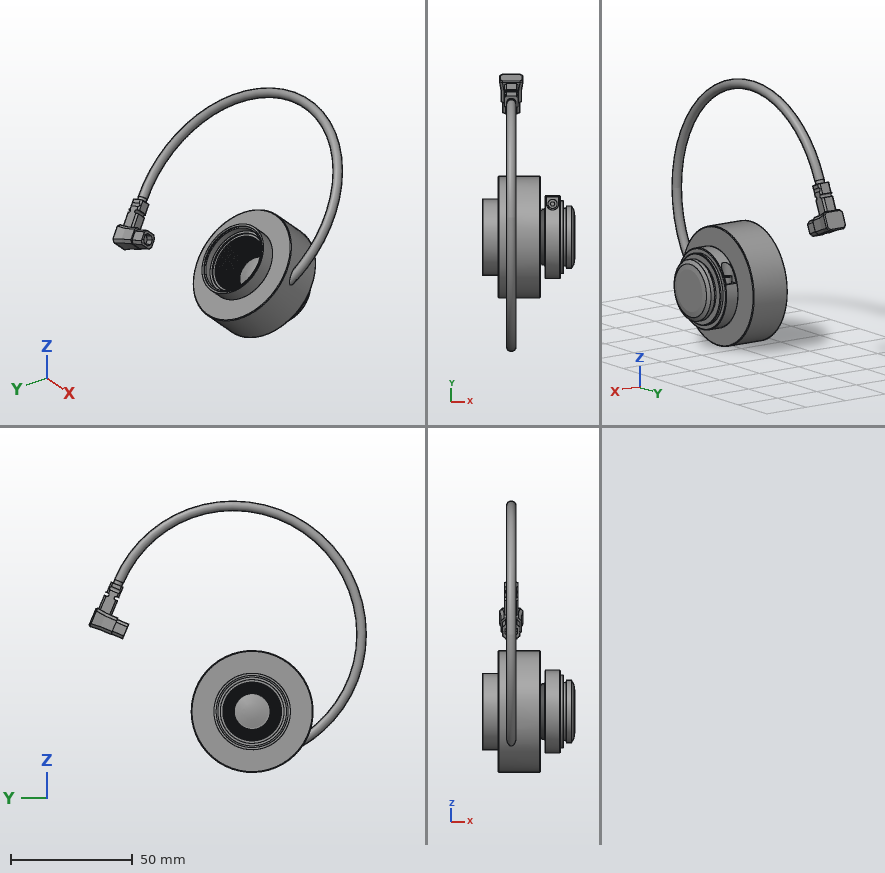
import cadquery as cq
import math

rim_radius = 15.7
body_front_x, body_back_x, body_radius = 6.3, 23.7, 25.0
ring_front_x, ring_back_x, ring_radius = 25.5, 31.8, 17.1
shoulder_back_x, shoulder_radius = 33.2, 15.0
mount_front_x, mount_bevel_x, mount_back_x, mount_radius = 34.5, 36.4, 37.4, 12.9
mount_bevel_radius = 11.1
neck_radius, neck_step_radius, neck_step_x = 11.0, 11.5, 24.2
relief_radius = 12.0
rear_lens_x, rear_lens_radius = 37.8, 8.9
edge_bevel = 0.3

entry_radius, entry_depth = 14.8, 0.5
filter_radius, filter_depth = 14.1, 3.4
seat_radius, seat_depth = 13.1, 4.1
baffle_radius, baffle_end_radius, baffle_depth, baffle_steps = 12.1, 9.2, 12.2, 12
retainer_end_radius, retainer_depth, retainer_steps = 7.0, 14.8, 7
glass_radius, glass_bulge = 6.8, 1.1

screw_y = 13.6
screw_notch_width = 5.0
screw_floor_z = 4.8
screw_head_diameter, screw_head_height = 3.8, 2.7
socket_size, socket_depth = 1.9, 1.7

cable_x, cable_diameter = 11.7, 4.0
overall_height, overall_front_y = 111.4, -46.9
cable_top_z = overall_height - body_radius - cable_diameter / 2
cable_side_y = overall_front_y + cable_diameter / 2
wide_bend_radius, tight_bend_radius, entry_bend_radius = 52.8, 50.7, 51.0
top_angle, side_angle, cable_entry_angle = 90, 180, 246
plug_tilt = 23.0

sleeve_diameter = 3.8
collar_top, arm_bottom = 1.6, 15.4
arm_width = 5.7
collar_back, collar_front = -2.8, 2.5
arm_back, arm_front, arm_top = -3.3, 2.6, 6.1
arm_bevel = 0.8
side_groove_at, side_groove_radius, side_groove_depth = 4.0, 0.9, 0.4
latch_notch_at, latch_notch_radius = 6.9, 0.7
head_back, head_front, plug_end = -4.3, 0.5, 5.5
contact_end = 10.6
head_bevel = 1.3
end_bevel = 0.6
tail_width, tail_top, tail_bottom = 9.9, 13.5, 21.8
head_width, head_top, head_bottom = 8.4, 14.1, 21.4
contact_width, contact_top, contact_bottom = 7.0, 14.7, 21.2
socket_wall, socket_reach = 1.0, 2.8


def stairs(start_x, start_radius, end_x, end_radius, steps):
    """Corner points of equal steps that narrow a bore towards +X."""
    points = []
    for i in range(1, steps + 1):
        x = start_x + (end_x - start_x) * i / steps
        points.append((x, start_radius + (end_radius - start_radius) * (i - 1) / steps))
        points.append((x, start_radius + (end_radius - start_radius) * i / steps))
    return points


def make_barrel():
    outer = [
        (rear_lens_x, 0),
        (rear_lens_x, rear_lens_radius),
        (mount_back_x, mount_bevel_radius),
        (mount_bevel_x, mount_radius),
        (mount_front_x, mount_radius),
        (mount_front_x - edge_bevel, relief_radius),
        (shoulder_back_x, relief_radius),
        (shoulder_back_x, shoulder_radius - edge_bevel),
        (shoulder_back_x - edge_bevel, shoulder_radius),
        (ring_back_x, shoulder_radius),
        (ring_back_x, ring_radius - edge_bevel),
        (ring_back_x - edge_bevel, ring_radius),
        (ring_front_x + edge_bevel, ring_radius),
        (ring_front_x, ring_radius - edge_bevel),
        (ring_front_x, relief_radius),
        (ring_front_x - edge_bevel, neck_step_radius),
        (neck_step_x, neck_step_radius),
        (neck_step_x, neck_radius),
        (body_back_x, neck_radius),
        (body_back_x, body_radius - edge_bevel),
        (body_back_x - edge_bevel, body_radius),
        (body_front_x + edge_bevel, body_radius),
        (body_front_x, body_radius - edge_bevel),
        (body_front_x, rim_radius),
        (0, rim_radius),
    ]
    bore = [
        (0, entry_radius),
        (entry_depth, entry_radius),
        (entry_depth, filter_radius),
        (filter_depth, filter_radius),
        (filter_depth, seat_radius),
        (seat_depth, seat_radius),
        (seat_depth, baffle_radius),
    ]
    bore += stairs(seat_depth, baffle_radius, baffle_depth, baffle_end_radius, baffle_steps)
    bore += stairs(baffle_depth, baffle_end_radius, retainer_depth, retainer_end_radius, retainer_steps)
    bore.append((retainer_depth, glass_radius))
    middle_radius = glass_radius / 2
    curve_radius = (glass_radius**2 + glass_bulge**2) / (2 * glass_bulge)
    apex_x = retainer_depth - glass_bulge
    middle_x = apex_x + curve_radius - math.sqrt(curve_radius**2 - middle_radius**2)
    profile = cq.Workplane("XY").polyline(outer + bore)
    profile = profile.threePointArc((middle_x, middle_radius), (apex_x, 0)).close()
    return profile.revolve(360, (0, 0, 0), (1, 0, 0))


def cut_screw_notch(barrel):
    """A round-ended notch, open towards +Y and +Z, that holds a socket-head screw."""
    screw_x = (ring_front_x + ring_back_x) / 2
    floor = cq.Workplane("XY", origin=(screw_x, screw_y, screw_floor_z))
    notch = floor.circle(screw_notch_width / 2).extrude(ring_radius)
    opening = floor.rect(screw_notch_width, ring_radius).extrude(ring_radius)
    opening = opening.translate((0, ring_radius / 2, 0))
    head = floor.circle(screw_head_diameter / 2).extrude(screw_head_height)
    socket = floor.workplane(offset=screw_head_height).polygon(6, socket_size).extrude(-socket_depth)
    return barrel.cut(notch.union(opening)).union(head.cut(socket))


def around(centre, radius, angle):
    """Point of a circle in the cable plane, as (y, z)."""
    turn = math.radians(angle)
    return (centre[0] + radius * math.cos(turn), centre[1] + radius * math.sin(turn))


cable_top_y = cable_side_y + wide_bend_radius
wide_bend_centre = (cable_top_y, cable_top_z - wide_bend_radius)
tight_bend_centre = (cable_top_y, cable_top_z - tight_bend_radius)
entry_bend_centre = (cable_side_y + entry_bend_radius, wide_bend_centre[1])
cable_end = around(tight_bend_centre, tight_bend_radius, plug_tilt)


def make_cable():
    path = (
        cq.Workplane("YZ", origin=(cable_x, 0, 0))
        .moveTo(*cable_end)
        .threePointArc(
            around(tight_bend_centre, tight_bend_radius, (plug_tilt + top_angle) / 2),
            (cable_top_y, cable_top_z),
        )
        .threePointArc(
            around(wide_bend_centre, wide_bend_radius, (top_angle + side_angle) / 2),
            (cable_side_y, wide_bend_centre[1]),
        )
        .threePointArc(
            around(entry_bend_centre, entry_bend_radius, (side_angle + cable_entry_angle) / 2),
            around(entry_bend_centre, entry_bend_radius, cable_entry_angle),
        )
    )
    tilt = math.radians(plug_tilt)
    start = cq.Plane((cable_x, *cable_end), (1, 0, 0), (0, -math.sin(tilt), math.cos(tilt)))
    return cq.Workplane(start).circle(cable_diameter / 2).sweep(path)


def bevelled_section(plane, width, top, bottom, bevel=head_bevel):
    """Rectangle with cut corners, spanning the given distances down from the cable end."""
    half = width / 2
    return plane.polyline([
        (-half, -top - bevel),
        (-half + bevel, -top),
        (half - bevel, -top),
        (half, -top - bevel),
        (half, -bottom + bevel),
        (half - bevel, -bottom),
        (-half + bevel, -bottom),
        (-half, -bottom + bevel),
    ]).close()


def make_arm():
    sleeve = cq.Workplane("XY").circle(sleeve_diameter / 2).extrude(-2 * collar_top)
    collar = (
        cq.Workplane("XY", origin=(0, -(collar_back + collar_front) / 2, -collar_top))
        .rect(arm_width, collar_front - collar_back)
        .extrude(collar_top - arm_top - latch_notch_radius)
        .edges("|Z")
        .chamfer(arm_bevel)
    )
    arm = (
        cq.Workplane("XY", origin=(0, -(arm_back + arm_front) / 2, -arm_top))
        .rect(arm_width, arm_front - arm_back)
        .extrude(arm_top - arm_bottom)
        .edges("|Z")
        .chamfer(arm_bevel)
    )
    arm = sleeve.union(collar).union(arm)
    for side in (-1, 1):
        groove_x = side * (arm_width / 2 + side_groove_radius - side_groove_depth)
        groove = (
            cq.Workplane("XZ", origin=(groove_x, 0, -side_groove_at))
            .circle(side_groove_radius)
            .extrude(arm_width, both=True)
        )
        arm = arm.cut(groove)
    for face_y in (-arm_front, -arm_back):
        inset = math.copysign(latch_notch_radius / 2, face_y)
        notch = (
            cq.Workplane("YZ", origin=(0, face_y - inset, -latch_notch_at))
            .slot2D(4 * latch_notch_radius, 2 * latch_notch_radius)
            .extrude(arm_width, both=True)
        )
        arm = arm.cut(notch)
    return arm


def make_head():
    tail_plane = cq.Workplane("XZ").workplane(offset=head_back)
    tail = bevelled_section(tail_plane, tail_width, tail_top, tail_bottom)
    tail = bevelled_section(
        tail.workplane(offset=head_front - head_back), head_width, head_top, head_bottom
    ).loft(ruled=True)
    tail = tail.faces(">Y").chamfer(end_bevel)
    middle = bevelled_section(
        cq.Workplane("XZ").workplane(offset=head_front), head_width, head_top, head_bottom
    ).extrude(plug_end - head_front)
    contact = bevelled_section(
        cq.Workplane("XZ").workplane(offset=plug_end), contact_width, contact_top, contact_bottom
    ).extrude(contact_end - plug_end)
    socket = bevelled_section(
        cq.Workplane("XZ").workplane(offset=contact_end - socket_reach),
        contact_width - 2 * socket_wall,
        contact_top + socket_wall,
        contact_bottom - socket_wall,
    ).extrude(socket_reach)
    return tail.union(middle).union(contact).cut(socket)


def make_plug():
    """Angled plug, upright with its cable end at the origin, then tilted onto the cable."""
    plug = make_arm().union(make_head())
    plug = plug.rotate((0, 0, 0), (1, 0, 0), plug_tilt)
    return plug.translate((cable_x, *cable_end))


barrel = cut_screw_notch(make_barrel())
result = barrel.union(make_cable()).union(make_plug())